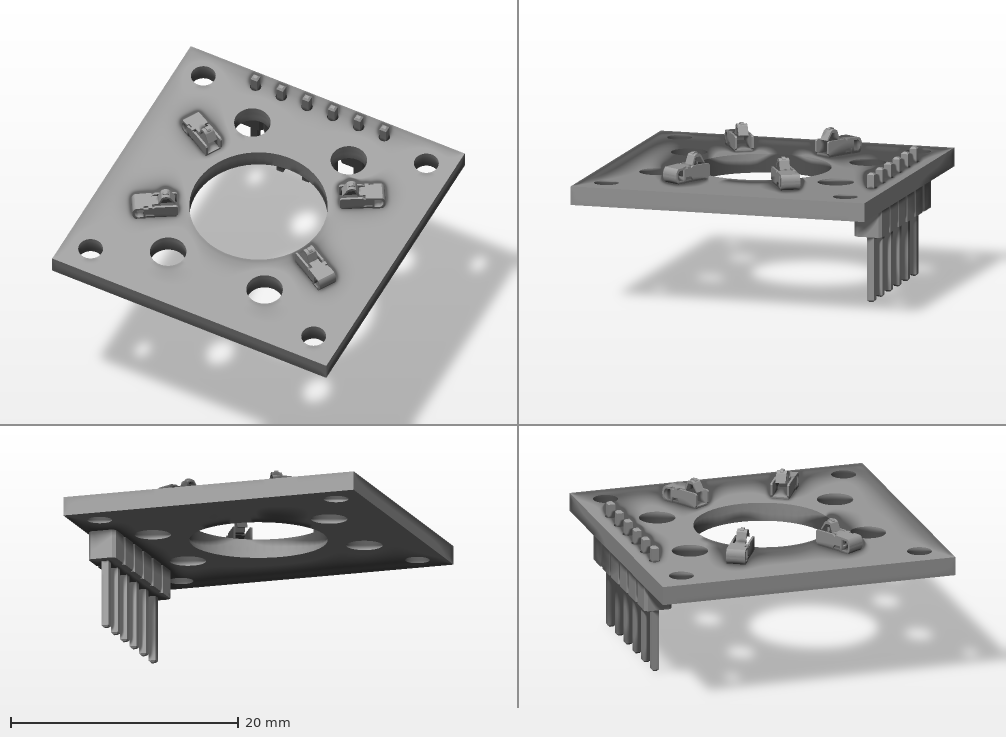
import cadquery as cq

BOARD_SIDE = 27.0
BOARD_THICKNESS = 1.67
CENTER_HOLE_DIAMETER = 12.18
CORNER_HOLE_DIAMETER = 2.2
CORNER_HOLE_OFFSET = 11.0
MOUNT_HOLE_DIAMETER = 3.2
MOUNT_HOLE_X = 4.75
MOUNT_HOLE_Y = 8.2

PIN_COUNT = 6
PIN_PITCH = 2.55
PIN_ROW_Y = 12.0
PIN_HOLE_DIAMETER = 1.0
PIN_SIDE = 0.65
PIN_TIP_CHAMFER = 0.15
PIN_ABOVE_BOARD = 1.35
PIN_BELOW_HOUSING = 6.0
HOUSING_CHAMFER = 0.27

CLIP_ANGLES = (30, 150, 210, 330)
SHEET = 0.2
CLIP_INNER = 7.13
CLIP_OUTER = 11.15
CLIP_WIDTH = 1.7
FLOOR_WIDTH = 1.55
CURL_HEIGHT = 1.35
CURL_BULGE = 0.27
CURL_FLAT = 0.27
CURL_SHOULDER_INSET = 0.08
CURL_SHOULDER_RISE = 0.03
WALL_OUTER = 9.13
WALL_TOP = 1.43
WALL_CORNER_CHAMFER = 0.14
NECK_OUTER = 10.18
NECK_BOTTOM = 0.5
NECK_SLOPE = 0.22
COVER_INNER = 9.4
COVER_TOP = 1.43
NOTCH_LENGTH = 0.43
NOTCH_DEPTH = 0.25

SPRING_WIDTH = 0.92
SPRING_SHEET = 0.14
SPRING_PEAK_X = 8.18
SPRING_PEAK_Z = 2.35
SHOULDER_HALF_SPAN = 0.38
SHOULDER_Z = 2.2
SPRING_FOOT_X = 8.85
SPRING_TIP_X = 7.35
SPRING_TIP_Z = 1.43
BUMP_WIDTH = 0.32
BUMP_LENGTH = 0.6
BUMP_TOP = 2.45
BUMP_CHAMFER = 0.14


def pin_positions():
    first_x = -PIN_PITCH * (PIN_COUNT - 1) / 2
    return [(first_x + i * PIN_PITCH, PIN_ROW_Y) for i in range(PIN_COUNT)]


def corners(x, y):
    return [(x, y), (-x, y), (-x, -y), (x, -y)]


def make_board():
    board = cq.Workplane("XY").rect(BOARD_SIDE, BOARD_SIDE).extrude(-BOARD_THICKNESS)
    hole_groups = (
        (CENTER_HOLE_DIAMETER, [(0, 0)]),
        (CORNER_HOLE_DIAMETER, corners(CORNER_HOLE_OFFSET, CORNER_HOLE_OFFSET)),
        (MOUNT_HOLE_DIAMETER, corners(MOUNT_HOLE_X, MOUNT_HOLE_Y)),
        (PIN_HOLE_DIAMETER, pin_positions()),
    )
    for diameter, points in hole_groups:
        holes = cq.Workplane("XY").pushPoints(points).circle(diameter / 2).extrude(-BOARD_THICKNESS)
        board = board.cut(holes)
    return board


def make_header():
    """One chamfered block per pin, joined side by side, with the pins fixed in them."""
    housing_bottom = -BOARD_THICKNESS - PIN_PITCH
    pin_bottom = housing_bottom - PIN_BELOW_HOUSING
    block = (
        cq.Workplane("XY", origin=(0, 0, housing_bottom))
        .rect(PIN_PITCH, PIN_PITCH)
        .extrude(PIN_PITCH)
        .edges("|Z")
        .chamfer(HOUSING_CHAMFER)
    )
    pin = (
        cq.Workplane("XY", origin=(0, 0, pin_bottom))
        .rect(PIN_SIDE, PIN_SIDE)
        .extrude(PIN_ABOVE_BOARD - pin_bottom)
        .faces("<Z or >Z")
        .chamfer(PIN_TIP_CHAMFER)
    )
    cell = block.union(pin)
    header = cq.Workplane("XY")
    for x, y in pin_positions():
        header = header.union(cell.translate((x, y, 0)))
    return header


def make_clip_base():
    """Floor, outer curl with its return lip, and sloping cover: one folded sheet."""
    curl_x = CLIP_OUTER - CURL_BULGE
    mid_z = CURL_HEIGHT / 2
    half_flat = CURL_FLAT / 2
    shoulder_x = CLIP_OUTER - CURL_SHOULDER_INSET
    shoulder_height = (mid_z + half_flat) / 2 + CURL_SHOULDER_RISE
    floor_inner = CLIP_INNER + WALL_CORNER_CHAMFER
    floor_length = curl_x - floor_inner
    floor = (
        cq.Workplane("XY")
        .rect(floor_length, FLOOR_WIDTH)
        .extrude(SHEET)
        .translate((floor_inner + floor_length / 2, 0, 0))
    )
    curl = (
        cq.Workplane("XZ")
        .moveTo(COVER_INNER, COVER_TOP)
        .lineTo(curl_x, CURL_HEIGHT)
        .threePointArc((shoulder_x, mid_z + shoulder_height), (CLIP_OUTER, mid_z + half_flat))
        .lineTo(CLIP_OUTER, mid_z - half_flat)
        .threePointArc((shoulder_x, mid_z - shoulder_height), (curl_x, 0))
        .lineTo(NECK_OUTER - SHEET, 0)
        .lineTo(NECK_OUTER - SHEET, NECK_BOTTOM)
        .lineTo(NECK_OUTER, NECK_BOTTOM)
        .lineTo(NECK_OUTER, SHEET)
        .lineTo(curl_x - SHEET, SHEET)
        .threePointArc((CLIP_OUTER - SHEET, mid_z), (curl_x - SHEET, CURL_HEIGHT - SHEET))
        .lineTo(COVER_INNER, COVER_TOP - SHEET)
        .close()
        .extrude(CLIP_WIDTH / 2, both=True)
    )
    notch = (
        cq.Workplane("XY")
        .box(NOTCH_LENGTH, NOTCH_DEPTH, COVER_TOP, centered=False)
        .translate((NECK_OUTER - NOTCH_LENGTH, CLIP_WIDTH / 2 - NOTCH_DEPTH, NECK_BOTTOM))
    )
    return floor.union(curl.cut(notch))


def make_clip_wall(side):
    """Side wall with a narrower neck reaching under the cover; side is +1 or -1."""
    neck_top = COVER_TOP - SHEET
    wall = (
        cq.Workplane("XZ")
        .moveTo(CLIP_INNER, SHEET + WALL_CORNER_CHAMFER)
        .lineTo(CLIP_INNER + WALL_CORNER_CHAMFER, SHEET)
        .lineTo(WALL_OUTER, SHEET)
        .lineTo(WALL_OUTER + NECK_SLOPE, NECK_BOTTOM)
        .lineTo(NECK_OUTER, NECK_BOTTOM)
        .lineTo(NECK_OUTER, neck_top)
        .lineTo(WALL_OUTER + NECK_SLOPE, neck_top)
        .lineTo(WALL_OUTER, WALL_TOP)
        .lineTo(CLIP_INNER + WALL_CORNER_CHAMFER, WALL_TOP)
        .lineTo(CLIP_INNER, WALL_TOP - WALL_CORNER_CHAMFER)
        .close()
        .extrude(SHEET / 2, both=True)
    )
    return wall.translate((0, side * (CLIP_WIDTH - SHEET) / 2, 0))


def make_clip_spring():
    """Arched strip that continues the cover, with a raised contact bump on its crown."""
    outer_shoulder = SPRING_PEAK_X + SHOULDER_HALF_SPAN
    inner_shoulder = SPRING_PEAK_X - SHOULDER_HALF_SPAN
    strip = (
        cq.Workplane("XZ")
        .moveTo(COVER_INNER, COVER_TOP)
        .lineTo(SPRING_FOOT_X, COVER_TOP)
        .lineTo(outer_shoulder, SHOULDER_Z)
        .threePointArc((SPRING_PEAK_X, SPRING_PEAK_Z), (inner_shoulder, SHOULDER_Z))
        .lineTo(SPRING_TIP_X, SPRING_TIP_Z)
        .lineTo(SPRING_TIP_X + SPRING_SHEET, SPRING_TIP_Z)
        .lineTo(inner_shoulder + SPRING_SHEET, SHOULDER_Z - SPRING_SHEET)
        .lineTo(outer_shoulder - SPRING_SHEET, SHOULDER_Z - SPRING_SHEET)
        .lineTo(SPRING_FOOT_X - SPRING_SHEET, COVER_TOP - SPRING_SHEET)
        .lineTo(COVER_INNER, COVER_TOP - SPRING_SHEET)
        .close()
        .extrude(SPRING_WIDTH / 2, both=True)
    )
    bump_bottom = SHOULDER_Z - SPRING_SHEET / 2
    bump = (
        cq.Workplane("XY", origin=(SPRING_PEAK_X, 0, bump_bottom))
        .rect(BUMP_LENGTH, BUMP_WIDTH)
        .extrude(BUMP_TOP - bump_bottom)
        .edges(">Z and |Y")
        .chamfer(BUMP_CHAMFER)
    )
    return strip.union(bump)


def make_clip():
    clip = make_clip_base().union(make_clip_spring())
    for side in (1, -1):
        clip = clip.union(make_clip_wall(side))
    return clip


board = make_board()
header = make_header()
clip = make_clip()
clips = [clip.rotate((0, 0, 0), (0, 0, 1), angle).val() for angle in CLIP_ANGLES]

result = cq.Compound.makeCompound([board.val(), header.val(), *clips])